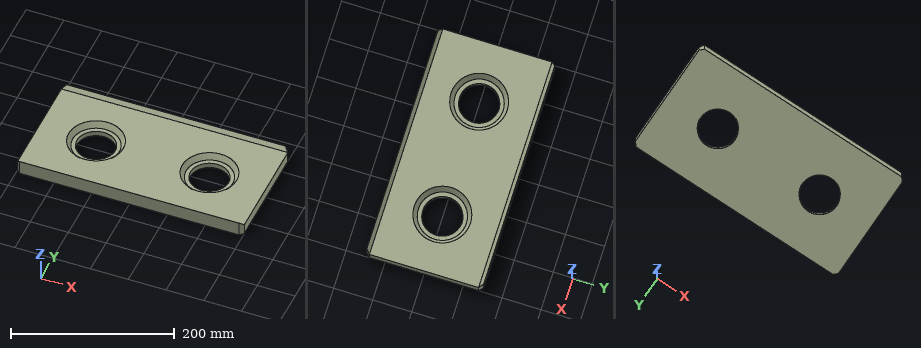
import cadquery as cq

length = 300.0
width = 150.0
plate_height = 15.0

lip_height = plate_height / 3
lip_width = lip_height
corner_bevel = lip_width

hole_spacing = length / 2
cone_top_diameter = 72.0
cone_bottom_diameter = 61.5
cone_depth = plate_height / 2
bore_diameter = 50.0


def plate_with_lips():
    """Extrude the cross-section, whose upper face turns up into a lip at each side."""
    half_width = width / 2
    floor_half_width = half_width - lip_width
    lip_top = plate_height + lip_height
    profile = [
        (-half_width, 0),
        (half_width, 0),
        (half_width, lip_top),
        (floor_half_width, plate_height),
        (-floor_half_width, plate_height),
        (-half_width, lip_top),
    ]
    return cq.Workplane("YZ").polyline(profile).close().extrude(length / 2, both=True)


def beveled_outline():
    """Prism with beveled vertical corners, taller than the plate and its lips."""
    prism_height = plate_height + lip_height
    prism = cq.Workplane("XY").box(length, width, prism_height, centered=(True, True, False))
    return prism.edges("|Z").chamfer(corner_bevel)


def stepped_hole(x):
    """Cutter for one hole centred at x on the lengthwise centreline."""
    bore = cq.Workplane("XY").center(x, 0).circle(bore_diameter / 2).extrude(plate_height)
    cone = (
        cq.Workplane("XY", origin=(x, 0, plate_height - cone_depth))
        .circle(cone_bottom_diameter / 2)
        .workplane(offset=cone_depth)
        .circle(cone_top_diameter / 2)
        .loft()
    )
    return bore.union(cone)


result = plate_with_lips().intersect(beveled_outline())
for hole_x in (-hole_spacing / 2, hole_spacing / 2):
    result = result.cut(stepped_hole(hole_x))